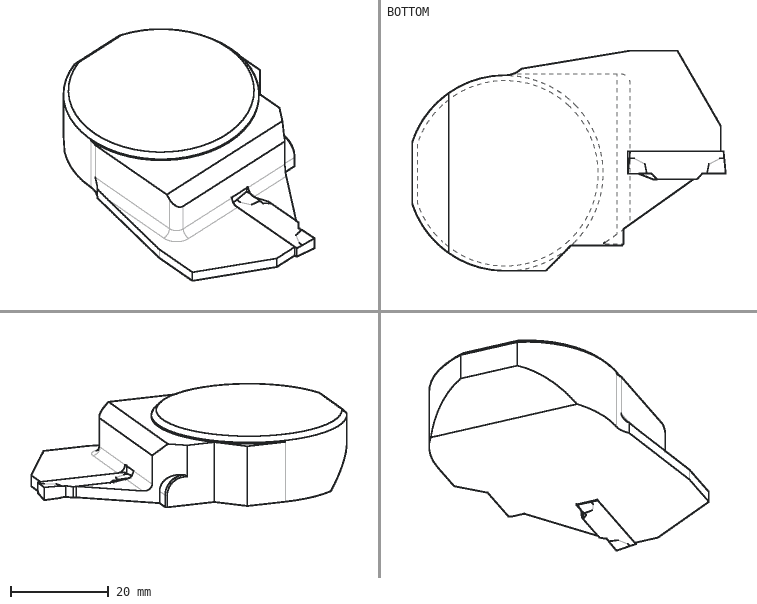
import cadquery as cq

DISC_RADIUS = 20.0
DISC_HEIGHT = 14.1
DISC_CHAMFER = 1.0
FLAT_X = -19.0
BOTTOM_CHAMFER = 7.5

BLOCK_HEIGHT = 12.75
BLOCK_RIGHT = 25.5
BLOCK_FRONT = -20.3
BLOCK_BACK = 14.8
BLOCK_CORNER_RADIUS = 2.0
BLOCK_CHAMFER = 2.7
SHOULDER_END_X = 8.35

BLADE_THICKNESS = 2.4
BLADE_FILLET = 1.6
BLADE_START = (3.4, -21.35)
BLADE_BOTTOM_LEFT = (25.45, -25.0)
BLADE_BOTTOM_RIGHT = (35.25, -25.0)
BLADE_RIGHT = 44.1
BLADE_CORNER_Y = -9.6

RELIEF_START_X = 19.5
RELIEF_END_X = 38.5
LEDGE_RIGHT = 24.2
LEDGE_HEIGHT = 6.4
LEDGE_ROUND = 3.85
LEDGE_BACK_CHAMFER = 0.3

INSERT_CENTER_X = 35.1
TIP_REACH = 10.0
TIP_CLEARANCE = 0.45
EDGE_Y = 0.1
INSERT_BOTTOM = -4.5
NECK_TOP = 1.3
NECK_HALF_TOP = 4.1
NECK_HALF_BASE = 5.2
HEAD_RISE = 0.2
HEAD_INNER_TOP = 6.15
HEAD_INNER_LOW = (6.55, -1.85)
HEAD_OUTER_LOW = (8.7, -3.0)

POCKET_LIP_X = 27.3
POCKET_SLOPE_END_X = 30.3
POCKET_LEFT = INSERT_CENTER_X - TIP_REACH
POCKET_HEIGHT = BLADE_THICKNESS + BLADE_FILLET

MARGIN = 12.8
REACH = 0.65


def relief_y(x):
    """Y of the diagonal relief line at a given X."""
    slope = (NECK_TOP - BLOCK_BACK) / (RELIEF_END_X - RELIEF_START_X)
    return BLOCK_BACK + slope * (x - RELIEF_START_X)


def make_disc():
    return cq.Workplane("XY").circle(DISC_RADIUS).extrude(DISC_HEIGHT).faces(">Z").chamfer(DISC_CHAMFER)


def make_flat_cut():
    """Material removed beyond the flat and beyond the bevels above and below it."""
    beyond = -DISC_RADIUS - MARGIN
    return (
        cq.Workplane("XZ")
        .moveTo(beyond, 0)
        .lineTo(FLAT_X + BOTTOM_CHAMFER, 0)
        .lineTo(FLAT_X, BOTTOM_CHAMFER)
        .lineTo(FLAT_X, DISC_HEIGHT - DISC_CHAMFER)
        .lineTo(FLAT_X + DISC_CHAMFER, DISC_HEIGHT)
        .lineTo(beyond, DISC_HEIGHT)
        .close()
        .extrude(DISC_RADIUS + MARGIN, both=True)
    )


def make_outline():
    """Prism with the plan outline of the block, ledge and blade."""
    arc_drop = -DISC_RADIUS - BLADE_START[1]
    arc_radius = (BLADE_START[0] ** 2 + arc_drop**2) / (2 * arc_drop)
    arc_mid_x = BLADE_START[0] / 2
    arc_mid_y = -DISC_RADIUS - arc_radius + (arc_radius**2 - arc_mid_x**2) ** 0.5
    return (
        cq.Workplane("XY")
        .moveTo(0, DISC_RADIUS)
        .lineTo(SHOULDER_END_X, DISC_RADIUS)
        .lineTo(SHOULDER_END_X + DISC_RADIUS - BLOCK_BACK, BLOCK_BACK)
        .lineTo(LEDGE_RIGHT, BLOCK_BACK)
        .lineTo(LEDGE_RIGHT, relief_y(LEDGE_RIGHT))
        .lineTo(RELIEF_END_X, NECK_TOP)
        .lineTo(BLADE_RIGHT, INSERT_BOTTOM)
        .lineTo(BLADE_RIGHT, BLADE_CORNER_Y)
        .lineTo(*BLADE_BOTTOM_RIGHT)
        .lineTo(*BLADE_BOTTOM_LEFT)
        .lineTo(*BLADE_START)
        .threePointArc((arc_mid_x, arc_mid_y), (0, -DISC_RADIUS))
        .close()
        .extrude(BLOCK_HEIGHT)
    )


def make_block_chamfer():
    """Wedge that bevels the top +X edge of the block along its whole length."""
    return (
        cq.Workplane("XZ")
        .moveTo(BLOCK_RIGHT, BLOCK_HEIGHT)
        .lineTo(BLOCK_RIGHT - BLOCK_CHAMFER, BLOCK_HEIGHT)
        .lineTo(BLOCK_RIGHT, BLOCK_HEIGHT - BLOCK_CHAMFER)
        .close()
        .extrude(-BLOCK_FRONT + MARGIN, both=True)
    )


def make_block_and_blade():
    left = -MARGIN
    back = DISC_RADIUS + MARGIN
    front = BLADE_BOTTOM_LEFT[1] - MARGIN
    right = BLADE_RIGHT + MARGIN
    slab = cq.Workplane("XY").box(
        right - left, back - front, BLADE_THICKNESS, centered=False
    ).translate((left, front, 0))
    block = (
        cq.Workplane("XY")
        .box(BLOCK_RIGHT - left, back - BLOCK_FRONT, BLOCK_HEIGHT, centered=False)
        .translate((left, BLOCK_FRONT, 0))
        .edges("|Z and >X and <Y")
        .fillet(BLOCK_CORNER_RADIUS)
    )
    base_edges = cq.selectors.BoxSelector(
        (left + REACH, BLOCK_FRONT - REACH, BLADE_THICKNESS - REACH),
        (BLOCK_RIGHT + REACH, back - REACH, BLADE_THICKNESS + REACH),
    )
    stepped = slab.union(block).edges(base_edges).fillet(BLADE_FILLET)
    return stepped.intersect(make_outline()).cut(make_block_chamfer())


def make_ledge_relief():
    """Material removed above the ledge, behind the diagonal relief."""
    end_x = BLOCK_RIGHT + MARGIN
    above_diagonal = (
        cq.Workplane("XY")
        .moveTo(RELIEF_START_X, BLOCK_BACK)
        .lineTo(end_x, relief_y(end_x))
        .lineTo(end_x, BLOCK_BACK)
        .close()
        .extrude(DISC_HEIGHT)
    )
    ledge = (
        cq.Workplane("XY")
        .box(LEDGE_RIGHT, BLOCK_BACK, LEDGE_HEIGHT, centered=False)
        .edges(">X and >Z")
        .fillet(LEDGE_ROUND)
        .faces(">Y").edges("not <Z").edges("not <X")
        .chamfer(LEDGE_BACK_CHAMFER)
    )
    return above_diagonal.cut(ledge)


def make_pocket():
    return (
        cq.Workplane("XY")
        .moveTo(POCKET_LEFT, INSERT_BOTTOM)
        .lineTo(POCKET_LEFT, EDGE_Y)
        .lineTo(POCKET_LIP_X, EDGE_Y)
        .lineTo(POCKET_SLOPE_END_X, NECK_TOP)
        .lineTo(BLADE_RIGHT + MARGIN, NECK_TOP)
        .lineTo(BLADE_RIGHT + MARGIN, INSERT_BOTTOM)
        .close()
        .extrude(POCKET_HEIGHT)
    )


def make_holder():
    holder = make_block_and_blade().union(make_disc())
    holder = holder.cut(make_ledge_relief())
    holder = holder.cut(make_pocket())
    return holder.cut(make_flat_cut())


def make_insert_head():
    """Raised cutting head on the top face of the +X end, centred on X = 0."""
    low_reach = TIP_REACH - TIP_CLEARANCE * (EDGE_Y - HEAD_OUTER_LOW[1]) / (EDGE_Y - INSERT_BOTTOM)
    head = (
        cq.Workplane("XY")
        .moveTo(HEAD_INNER_TOP, EDGE_Y)
        .lineTo(*HEAD_INNER_LOW)
        .lineTo(*HEAD_OUTER_LOW)
        .lineTo(low_reach, HEAD_OUTER_LOW[1])
        .lineTo(TIP_REACH, EDGE_Y)
        .close()
        .extrude(BLADE_THICKNESS + HEAD_RISE)
    )
    tip = cq.Vector(TIP_REACH, EDGE_Y, BLADE_THICKNESS + HEAD_RISE)
    inner = cq.Vector(*HEAD_INNER_LOW, BLADE_THICKNESS)
    outer = cq.Vector(*HEAD_OUTER_LOW, BLADE_THICKNESS)
    normal = (inner - tip).cross(outer - tip)
    slope_plane = cq.Plane(origin=tip, xDir=inner - tip, normal=normal)
    above_slope = cq.Workplane(slope_plane).rect(2 * MARGIN, 2 * MARGIN).extrude(MARGIN)
    return head.cut(above_slope)


def make_insert():
    right_half = [
        (0, NECK_TOP),
        (NECK_HALF_TOP, NECK_TOP),
        (NECK_HALF_BASE, EDGE_Y),
        (TIP_REACH, EDGE_Y),
        (TIP_REACH - TIP_CLEARANCE, INSERT_BOTTOM),
        (0, INSERT_BOTTOM),
    ]
    half = cq.Workplane("XY").polyline(right_half).close().extrude(BLADE_THICKNESS)
    head = make_insert_head()
    middle = (0, 0, BLADE_THICKNESS / 2)
    half = half.union(head).union(head.mirror("XY", middle))
    return half.union(half.mirror("YZ")).translate((INSERT_CENTER_X, 0, 0))


holder = make_holder()
insert = make_insert()
result = cq.Compound.makeCompound([holder.solids().val(), insert.solids().val()])